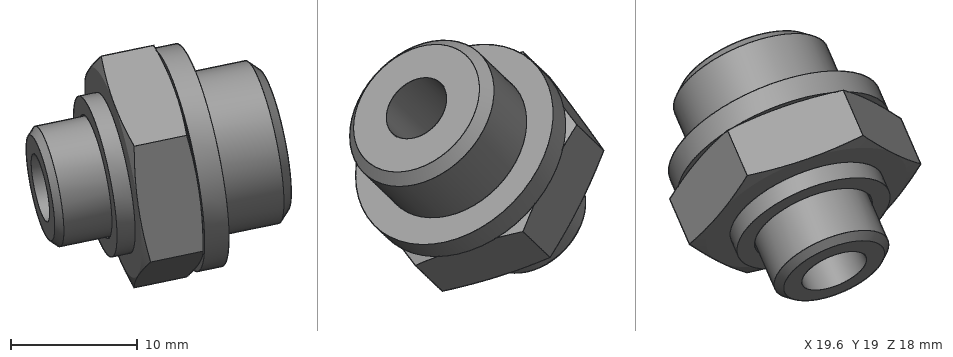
import cadquery as cq
import math

hex_corners = 19.63
hex_flats = hex_corners * math.sqrt(3) / 2
bore_diameter = 5.5

front_stud_length = 4.5
front_ring_length = 1.5
hex_length = 5.0
rear_ring_length = 2.0
rear_stud_length = 6.0

front_stud_diameter = 9.74
front_chamfer = 0.59
rear_stud_diameter = 13.15
rear_chamfer = 0.85

front_ring_outer = 13.0
front_ring_inner = 10.0
rear_ring_outer = 18.0
rear_ring_inner = 13.2

hex_chamfer_angle = 15.0

hex_front = -hex_length / 2
hex_rear = hex_length / 2
front_end = hex_front - front_ring_length - front_stud_length
rear_end = hex_rear + rear_ring_length + rear_stud_length


def cylinder(diameter, y_start, y_end):
    """Solid cylinder on the Y axis between two stations."""
    plane = cq.Workplane("XZ", origin=(0, y_start, 0))
    return plane.circle(diameter / 2).extrude(y_start - y_end)


def make_hexagon():
    """Hexagon with corners on X, its corners turned down by a cone at each end."""
    blank = (
        cq.Workplane("XZ", origin=(0, hex_front, 0))
        .polygon(6, hex_corners)
        .extrude(-hex_length)
    )
    corner_radius = hex_corners / 2
    face_radius = hex_flats / 2
    cone_depth = (corner_radius - face_radius) * math.tan(math.radians(hex_chamfer_angle))
    envelope = (
        cq.Workplane("XY")
        .moveTo(0, hex_front)
        .lineTo(face_radius, hex_front)
        .lineTo(corner_radius, hex_front + cone_depth)
        .lineTo(corner_radius, hex_rear - cone_depth)
        .lineTo(face_radius, hex_rear)
        .lineTo(0, hex_rear)
        .close()
        .revolve(360, (0, 0, 0), (0, 1, 0))
    )
    return blank.intersect(envelope)


def make_fitting():
    """Hexagon with a chamfered stud on each side and a bore right through."""
    front_stud = cylinder(front_stud_diameter, front_end, hex_front).faces("<Y").chamfer(front_chamfer)
    rear_stud = cylinder(rear_stud_diameter, hex_rear, rear_end).faces(">Y").chamfer(rear_chamfer)
    bore = cylinder(bore_diameter, front_end, rear_end)
    return make_hexagon().union(front_stud).union(rear_stud).cut(bore)


def make_ring(outer_diameter, inner_diameter, y_start, y_end):
    """Flat sealing ring between two stations."""
    return cylinder(outer_diameter, y_start, y_end).cut(cylinder(inner_diameter, y_start, y_end))


fitting = make_fitting()
front_ring = make_ring(front_ring_outer, front_ring_inner, hex_front - front_ring_length, hex_front)
rear_ring = make_ring(rear_ring_outer, rear_ring_inner, hex_rear, hex_rear + rear_ring_length)

result = cq.Compound.makeCompound([fitting.val(), front_ring.val(), rear_ring.val()])